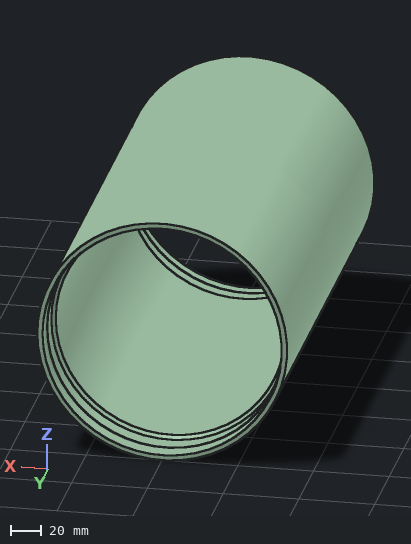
import cadquery as cq

length = 300.0
outer_radius = 82.5
bore_radius = 75.5

mouth_radius = 79.0
seat_radius = 78.0
step_height = 0.15
step_radius = seat_radius + step_height

mouth_depth = 9.0
seat_start = 11.7
seat_end = 25.5
bore_start = 28.2

half_length = length / 2


def socket(end):
    """Stepped recess turned into one end; end is -1 or +1 along Y."""
    face = end * half_length
    return (
        cq.Workplane("XY")
        .moveTo(0, face)
        .lineTo(mouth_radius, face)
        .lineTo(mouth_radius, face - end * mouth_depth)
        .lineTo(step_radius, face - end * seat_start)
        .lineTo(seat_radius, face - end * seat_start)
        .lineTo(seat_radius, face - end * seat_end)
        .lineTo(bore_radius, face - end * bore_start)
        .lineTo(0, face - end * bore_start)
        .close()
        .revolve(360, (0, 0, 0), (0, 1, 0))
    )


result = (
    cq.Workplane("XZ")
    .circle(outer_radius)
    .circle(bore_radius)
    .extrude(half_length, both=True)
)

for end in (-1, 1):
    result = result.cut(socket(end))